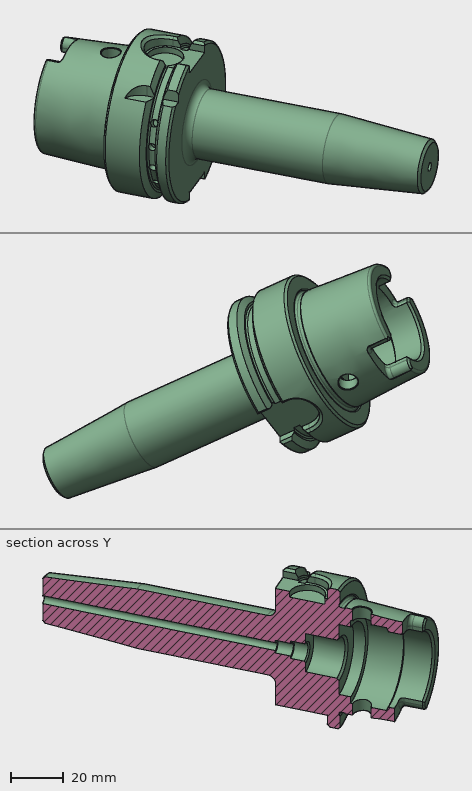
import cadquery as cq
import math

overall_length = 152.0
overlap = 1.5
diagonal = math.sqrt(0.5)

shank_length = 31.6
shank_base_radius = 24.2
shank_end_radius = 22.5
shank_edge_round = 1.0
relief_width = 2.1
relief_depth = 0.5
relief_outer_radius = 25.4
relief_corner_radius = 0.8

flange_radius = 31.5
flange_end = 57.9
flange_chamfer = 0.9
groove_center = 49.9
groove_top_half_width = 3.5
groove_wall_half_width = 1.8
groove_corner_chamfer = 0.6
groove_wall_radius = 28.7
groove_bottom_radius = 27.2

nose_radius = 13.5
nose_root_fillet = 3.0
nose_taper_start = 113.7
nose_tip_radius = 10.5
nose_tip_chamfer = 1.0

mouth_radius = 16.9
mouth_chamfer = 0.9
mouth_end = 12.2
undercut_radius = 18.5
undercut_start = 13.0
undercut_end = 27.4
chamber_radius = 15.7
chamber_end = 32.0
thread_radius = 8.5
thread_chamfer = 0.9
thread_end = 45.6
feed_radius = 3.8
feed_chamfer = 0.6
feed_end = 51.7
throat_radius = 2.7
throat_end = flange_end
coolant_radius = 1.7

keyway_half_width = 6.2
keyway_edge_round = 3.0
keyway_round_start = 17.5
keyway_corner_fillet = 1.5
keyway_front_chamfer = 0.8
keyway_depths = {1: 6.4, -1: 9.7}

cross_hole_x = 23.0
cross_hole_diameter = 7.3
cross_hole_chamfer = 0.3

slot_center_x = 45.0
slot_half_width = 8.0
slot_floor = 26.3
slot_chamfer = 1.2
chip_recess_radius = 7.0
chip_recess_depth = 2.6

notch_corner = 19.9
notch_cutter_radius = 8.0

balance_hole_diameter = 2.9
balance_hole_depth = 3.0
balance_hole_angles = (25, 5, -15, -35)


def revolve_about_x(profile):
    return profile.close().revolve(360, (0, 0, 0), (1, 0, 0))


def make_shank():
    body = revolve_about_x(
        cq.Workplane("XY")
        .lineTo(0, shank_end_radius)
        .lineTo(shank_length, shank_base_radius)
        .lineTo(shank_length, 0)
    )
    body = body.faces("<X").edges().fillet(shank_edge_round)

    hole = cq.Workplane("XY").center(cross_hole_x, 0).circle(cross_hole_diameter / 2)
    body = body.cut(hole.extrude(flange_radius, both=True))
    hole_zone = cq.selectors.BoxSelector(
        (cross_hole_x - cross_hole_diameter, -cross_hole_diameter, -flange_radius),
        (cross_hole_x + cross_hole_diameter, cross_hole_diameter, flange_radius),
        boundingbox=True,
    )
    return body.edges(hole_zone).edges("not %LINE").chamfer(cross_hole_chamfer)


def make_relief():
    """Undercut of the corner between taper and flange face, cutting into both."""
    start = shank_length - relief_width
    face = shank_length + relief_depth
    floor_radius = shank_base_radius - relief_depth
    arc_offset = relief_corner_radius * (1 - diagonal)
    return revolve_about_x(
        cq.Workplane("XY")
        .moveTo(start, relief_outer_radius)
        .lineTo(start, floor_radius + relief_depth)
        .lineTo(start + relief_depth, floor_radius)
        .lineTo(face - relief_corner_radius, floor_radius)
        .threePointArc(
            (face - arc_offset, floor_radius + arc_offset),
            (face, floor_radius + relief_corner_radius),
        )
        .lineTo(face, relief_outer_radius - relief_depth)
        .lineTo(shank_length, relief_outer_radius)
    )


def make_slot_cutter():
    """Round-ended slot that runs out through the nose side of the flange."""
    straight_length = flange_end + slot_half_width - slot_center_x
    slot = cq.Workplane("XY").workplane(offset=slot_floor)
    round_end = slot.center(slot_center_x, 0).circle(slot_half_width).extrude(flange_radius)
    straight = slot.center(slot_center_x + straight_length / 2, 0).rect(
        straight_length, 2 * slot_half_width
    ).extrude(flange_radius)
    return round_end.union(straight)


def make_flange():
    flange = cq.Workplane("YZ").workplane(offset=shank_length).circle(flange_radius)
    flange = flange.extrude(flange_end - shank_length)
    slot = make_slot_cutter()
    flange = flange.cut(slot).cut(slot.mirror("XY"))

    mid_height = (slot_floor + flange_radius) / 2

    def is_rim(edge):
        center = edge.Center()
        between_faces = shank_length + flange_chamfer < center.x < flange_end - flange_chamfer
        near_slot = abs(center.y) < slot_half_width + slot_chamfer
        return between_faces and near_slot and abs(center.z) > mid_height

    rim = [e for e in flange.edges().vals() if is_rim(e)]
    flange = flange.newObject(rim).chamfer(slot_chamfer)

    disc = cq.Workplane("YZ").workplane(offset=shank_length).circle(flange_radius)
    disc = disc.extrude(flange_end - shank_length).edges("%CIRCLE").chamfer(flange_chamfer)
    return flange.intersect(disc)


def make_groove():
    outside = flange_radius + overlap
    half_profile = [
        (groove_wall_half_width - groove_corner_chamfer, groove_bottom_radius),
        (groove_wall_half_width, groove_bottom_radius + groove_corner_chamfer),
        (groove_wall_half_width, groove_wall_radius),
        (groove_top_half_width, flange_radius),
        (groove_top_half_width, outside),
    ]
    right = [(groove_center + w, r) for w, r in half_profile]
    left = [(groove_center - w, r) for w, r in reversed(half_profile)]
    return revolve_about_x(cq.Workplane("XY").polyline(right + left))


def make_nose():
    root_radius = nose_radius + nose_root_fillet
    arc_offset = nose_root_fillet * (1 - diagonal)
    nose = revolve_about_x(
        cq.Workplane("XY")
        .moveTo(flange_end - overlap, 0)
        .lineTo(flange_end - overlap, root_radius)
        .lineTo(flange_end, root_radius)
        .threePointArc(
            (flange_end + arc_offset, nose_radius + arc_offset),
            (flange_end + nose_root_fillet, nose_radius),
        )
        .lineTo(nose_taper_start, nose_radius)
        .lineTo(overall_length, nose_tip_radius)
        .lineTo(overall_length, 0)
    )
    return nose.faces(">X").edges().chamfer(nose_tip_chamfer)


def make_bore():
    return revolve_about_x(
        cq.Workplane("XY")
        .lineTo(0, mouth_radius + mouth_chamfer)
        .lineTo(mouth_chamfer, mouth_radius)
        .lineTo(mouth_end, mouth_radius)
        .lineTo(undercut_start, undercut_radius)
        .lineTo(undercut_end, undercut_radius)
        .lineTo(undercut_end, chamber_radius)
        .lineTo(chamber_end, chamber_radius)
        .lineTo(chamber_end, thread_radius + thread_chamfer)
        .lineTo(chamber_end + thread_chamfer, thread_radius)
        .lineTo(thread_end, thread_radius)
        .lineTo(thread_end, feed_radius + feed_chamfer)
        .lineTo(thread_end + feed_chamfer, feed_radius)
        .lineTo(feed_end, feed_radius)
        .lineTo(feed_end, throat_radius)
        .lineTo(throat_end, throat_radius)
        .lineTo(throat_end, coolant_radius)
        .lineTo(overall_length, coolant_radius)
        .lineTo(overall_length, 0)
    )


def keyway_outline(margin):
    """Keyway section with walls that flare outward, enlarged all round by a margin."""
    wall_y = keyway_half_width + margin
    round_radius = keyway_edge_round - margin
    flare_y = wall_y + round_radius
    flare_z = keyway_round_start + round_radius
    mid_y = flare_y - round_radius * diagonal
    mid_z = keyway_round_start + round_radius * diagonal
    return (
        cq.Workplane("YZ")
        .moveTo(-wall_y, 0)
        .lineTo(wall_y, 0)
        .lineTo(wall_y, keyway_round_start)
        .threePointArc((mid_y, mid_z), (flare_y, flare_z))
        .lineTo(flare_y, flange_radius)
        .lineTo(-flare_y, flange_radius)
        .lineTo(-flare_y, flare_z)
        .threePointArc((-mid_y, mid_z), (-wall_y, keyway_round_start))
        .close()
    )


def make_keyway(side, depth):
    """Keyway on the +Z (side = 1) or -Z (side = -1) half of the shank mouth."""
    keyway = keyway_outline(0).extrude(depth)
    keyway = keyway.faces(">X").edges("|Z or %CIRCLE").fillet(keyway_corner_fillet)
    front_chamfer = keyway_outline(keyway_front_chamfer).extrude(keyway_front_chamfer, taper=45)
    keyway = keyway.union(front_chamfer)
    return keyway if side > 0 else keyway.mirror("XY")


def make_notch():
    """Milled corner with a vertical wall, a flat floor and a rounded run-out."""
    size = flange_radius
    floor = cq.Workplane("XY").workplane(offset=notch_corner)
    length = flange_end - slot_center_x
    straight = floor.center(slot_center_x + length / 2, -notch_corner - size / 2)
    straight = straight.rect(length, size).extrude(size)
    run_out = floor.center(slot_center_x, -notch_corner - notch_cutter_radius)
    run_out = run_out.circle(notch_cutter_radius).extrude(size)
    return straight.union(run_out)


def make_balance_hole(angle):
    outward = cq.Vector(0, -math.cos(math.radians(angle)), math.sin(math.radians(angle)))
    start = outward * (groove_bottom_radius - balance_hole_depth) + cq.Vector(groove_center, 0, 0)
    length = balance_hole_depth + groove_corner_chamfer
    return cq.Workplane(cq.Solid.makeCylinder(balance_hole_diameter / 2, length, start, outward))


result = make_flange().cut(make_groove())
result = result.union(make_shank()).union(make_nose())
result = result.cut(make_relief()).cut(make_bore())

for side, depth in keyway_depths.items():
    result = result.cut(make_keyway(side, depth))

chip_recess = cq.Workplane("XY").workplane(offset=slot_floor - chip_recess_depth)
chip_recess = chip_recess.center(slot_center_x, 0).circle(chip_recess_radius)
result = result.cut(chip_recess.extrude(flange_radius))

result = result.cut(make_notch())

for angle in balance_hole_angles:
    result = result.cut(make_balance_hole(angle))